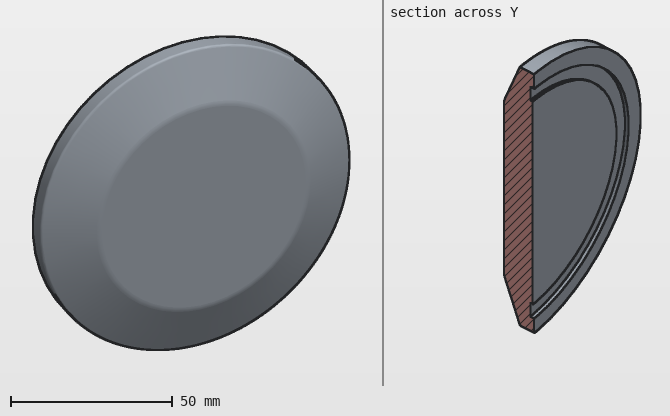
import cadquery as cq
import math

disc_radius = 53.0
thickness = 12.0

rim_corner_x = 5.7
cone_angle = 20.0
rim_round = 1.0
back_round = 5.0

groove_outer_radius = 47.0
groove_inner_radius = 41.5
groove_depth = 1.5

face_recess = 0.5

cone_drop = (thickness - rim_corner_x) / math.tan(math.radians(cone_angle))
back_radius = disc_radius - cone_drop


def make_disc():
    """Revolve the half section and round both ends of the cone."""
    body = (
        cq.Workplane("XY")
        .polyline([
            (0, 0),
            (0, disc_radius),
            (rim_corner_x, disc_radius),
            (thickness, back_radius),
            (thickness, 0),
        ])
        .close()
        .revolve(360, (0, 0, 0), (1, 0, 0))
    )
    body = body.faces("%CYLINDER").edges(">X").fillet(rim_round)
    return body.faces(">X").edges().fillet(back_round)


def make_groove():
    """Ring removed from the front face."""
    return (
        cq.Workplane("YZ")
        .circle(groove_outer_radius)
        .circle(groove_inner_radius)
        .extrude(groove_depth)
    )


def make_face_recess():
    """Shallow disc that lowers the central face below the rim."""
    return cq.Workplane("YZ").circle(groove_outer_radius).extrude(face_recess)


result = make_disc().cut(make_groove()).cut(make_face_recess())